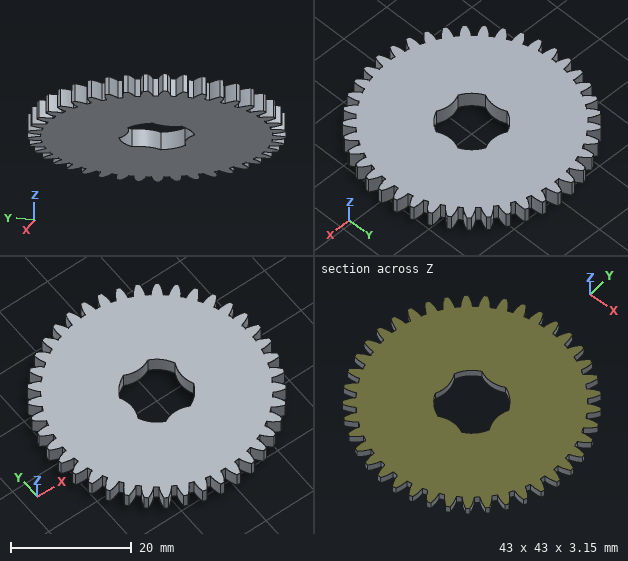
import cadquery as cq
import math

tooth_count = 41
outside_diameter = 43.0
module = outside_diameter / (tooth_count + 2)
pressure_angle = math.radians(20)
root_clearance = 0.25 * module
thickness = 3.15

outer_radius = outside_diameter / 2
pitch_radius = module * tooth_count / 2
base_radius = pitch_radius * math.cos(pressure_angle)
root_radius = pitch_radius - module - root_clearance
tooth_pitch = 360 / tooth_count

bore_radius = 6.28
lobe_inner_radius = 5.1
lobe_half_width = 2.55
lobe_count = 4

flank_points = 6
root_overlap = 0.45


def involute(angle):
    return math.tan(angle) - angle


def half_tooth_angle(radius):
    """Angle from the tooth centreline to its flank at the given radius."""
    local_pressure_angle = math.acos(base_radius / radius)
    half_angle_at_pitch = math.pi / (2 * tooth_count)
    return half_angle_at_pitch + involute(pressure_angle) - involute(local_pressure_angle)


def polar(radius, angle):
    return (radius * math.cos(angle), radius * math.sin(angle))


def mirrored(points):
    return [(x, -y) for x, y in points]


def make_tooth():
    """One tooth along +X, running radially from inside the root circle to the base circle."""
    radial_step = (outer_radius - base_radius) / (flank_points - 1)
    radii = [base_radius + i * radial_step for i in range(flank_points)]
    upper_flank = [polar(radius, half_tooth_angle(radius)) for radius in radii]
    lower_flank = mirrored(upper_flank)
    upper_foot = polar(root_radius - root_overlap, half_tooth_angle(base_radius))
    lower_foot = mirrored([upper_foot])[0]
    return (
        cq.Workplane("XY")
        .moveTo(*lower_foot)
        .lineTo(*lower_flank[0])
        .spline(lower_flank[1:], includeCurrent=True)
        .threePointArc((outer_radius, 0), upper_flank[-1])
        .spline(upper_flank[-2::-1], includeCurrent=True)
        .lineTo(*upper_foot)
        .close()
        .extrude(thickness)
    )


def make_bore():
    """Round plug with a circular bite on each of its four sides."""
    lobe_end = math.sqrt(bore_radius**2 - lobe_half_width**2)
    lobe_rise = lobe_end - lobe_inner_radius
    lobe_radius = (lobe_half_width**2 + lobe_rise**2) / (2 * lobe_rise)
    lobes = (
        cq.Workplane("XY")
        .polarArray(lobe_inner_radius + lobe_radius, 0, 360, lobe_count)
        .circle(lobe_radius)
        .extrude(thickness, combine=False)
    )
    return cq.Workplane("XY").circle(bore_radius).extrude(thickness).cut(lobes)


tooth = make_tooth()
teeth = [tooth.rotate((0, 0, 0), (0, 0, 1), i * tooth_pitch).val() for i in range(tooth_count)]
root_disc = cq.Workplane("XY").circle(root_radius).extrude(thickness).val()

result = cq.Workplane(root_disc.fuse(*teeth).clean()).cut(make_bore())